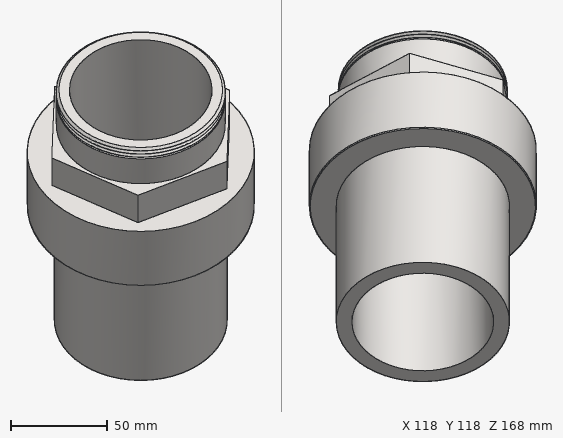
import cadquery as cq
import math

total_height = 168.0
collar_bottom = 83.0
collar_height = 40.0
hex_height = 20.0

spigot_diameter = 90.0
collar_diameter = 118.0
bore_diameter = 74.0
spigot_bore_diameter = 73.6

collar_chamfer = 0.5

hex_across_flats = 91.0
hex_sides = 6
hex_turn = 180.0 / hex_sides

thread_major_diameter = 87.884
thread_minor_diameter = 84.926
thread_pitch = 2.309
thread_ring_count = 3

collar_top = collar_bottom + collar_height
hex_top = collar_top + hex_height
thread_bottom = total_height - thread_ring_count * thread_pitch


def cylinder(diameter, bottom, top):
    """Upright cylinder on the Z axis between two heights."""
    return cq.Workplane("XY").workplane(offset=bottom).circle(diameter / 2).extrude(top - bottom)


def make_collar():
    """Wide round collar with a small chamfer on its lower rim."""
    collar = cylinder(collar_diameter, collar_bottom, collar_top)
    return collar.faces("<Z").edges().chamfer(collar_chamfer)


def make_hexagon():
    """Wrench hexagon with flats facing +X and -X."""
    across_corners = hex_across_flats / math.cos(math.pi / hex_sides)
    hexagon = cq.Workplane("XY").polygon(hex_sides, across_corners).extrude(hex_height)
    return hexagon.rotate((0, 0, 0), (0, 0, 1), hex_turn).translate((0, 0, collar_top))


def make_threaded_neck():
    """Plain neck above the hexagon, ending in the thread rings."""
    major_radius = thread_major_diameter / 2
    minor_radius = thread_minor_diameter / 2
    profile = (
        cq.Workplane("XZ")
        .moveTo(0, hex_top)
        .lineTo(major_radius, hex_top)
        .lineTo(major_radius, thread_bottom)
        .lineTo(minor_radius, thread_bottom)
    )
    for ring in range(thread_ring_count):
        ring_bottom = thread_bottom + ring * thread_pitch
        profile = profile.lineTo(major_radius, ring_bottom + thread_pitch / 2)
        profile = profile.lineTo(minor_radius, ring_bottom + thread_pitch)
    return profile.lineTo(0, total_height).close().revolve(360, (0, 0, 0), (0, 1, 0))


spigot = cylinder(spigot_diameter, 0, collar_bottom)
outside = spigot.union(make_collar()).union(make_hexagon()).union(make_threaded_neck())

spigot_bore = cylinder(spigot_bore_diameter, 0, collar_bottom)
body_bore = cylinder(bore_diameter, collar_bottom, total_height)
result = outside.cut(spigot_bore).cut(body_bore)